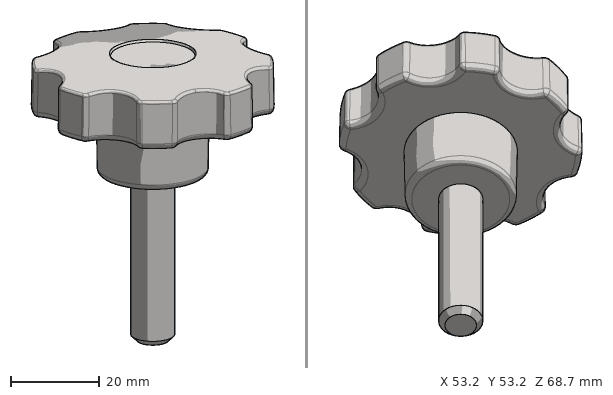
import cadquery as cq
import math

total_height = 68.7
hub_bottom = 40.05
grip_bottom = 55.0

grip_radius = 27.55
draft_angle = 1.0
dome_radius = 154.5
scallop_count = 8
scallop_radius = 7.5
scallop_center_radius = 30.75
lobe_corner_fillet = 1.45
grip_top_fillet = 0.7
grip_bottom_fillet = 1.5

recess_rim_radius = 9.8
recess_floor_radius = 9.55
recess_wall_depth = 0.55
dish_depth = 0.6

hub_top_radius = 12.85
hub_fillet = 1.5
stud_diameter = 10.0
stud_chamfer = 1.45

draft = math.tan(math.radians(draft_angle))
dome_center_z = total_height - math.sqrt(dome_radius**2 - recess_rim_radius**2)


def dome_height(radius):
    """Height of the domed top at a distance from the axis."""
    return dome_center_z + math.sqrt(dome_radius**2 - radius**2)


def domed_blank():
    """Drafted round head with a domed top, before the scallops are cut."""
    edge_radius = grip_radius - draft * (dome_height(grip_radius) - grip_bottom)
    profile = (
        cq.Workplane("XZ")
        .moveTo(0, grip_bottom)
        .lineTo(grip_radius, grip_bottom)
        .lineTo(edge_radius, dome_height(edge_radius))
        .threePointArc((edge_radius / 2, dome_height(edge_radius / 2)), (0, dome_height(0)))
        .close()
    )
    return profile.revolve(360, (0, 0, 0), (0, 1, 0))


def scalloped_grip():
    """Head with finger scallops around the rim and rounded edges."""
    scallops = (
        cq.Workplane("XY")
        .workplane(offset=grip_bottom)
        .polarArray(scallop_center_radius, 0, 360, scallop_count)
        .circle(scallop_radius)
        .extrude(total_height - grip_bottom)
    )
    grip = domed_blank().cut(scallops)

    band_half_height = 0.7
    head_middle = (grip_bottom + dome_height(grip_radius)) / 2
    middle_band = cq.selectors.BoxSelector(
        (-grip_radius, -grip_radius, head_middle - band_half_height),
        (grip_radius, grip_radius, head_middle + band_half_height),
    )
    grip = grip.edges(middle_band).fillet(lobe_corner_fillet)
    grip = grip.faces(">Z").edges().fillet(grip_top_fillet)
    return grip.faces("<Z").edges().fillet(grip_bottom_fillet)


def recess_cutter():
    """Shallow recess with a slanted wall and a concave floor."""
    floor_edge_z = total_height - recess_wall_depth
    floor_center_z = floor_edge_z - dish_depth
    dish_radius = (recess_floor_radius**2 + dish_depth**2) / (2 * dish_depth)
    middle_radius = recess_floor_radius / 2
    middle_z = floor_center_z + dish_radius - math.sqrt(dish_radius**2 - middle_radius**2)
    profile = (
        cq.Workplane("XZ")
        .moveTo(0, floor_center_z)
        .threePointArc((middle_radius, middle_z), (recess_floor_radius, floor_edge_z))
        .lineTo(recess_rim_radius, total_height)
        .lineTo(recess_rim_radius, dome_height(0))
        .lineTo(0, dome_height(0))
        .close()
    )
    return profile.revolve(360, (0, 0, 0), (0, 1, 0))


def hub():
    """Drafted collar under the head, rounded at its lower edge."""
    collar = (
        cq.Workplane("XY")
        .workplane(offset=grip_bottom)
        .circle(hub_top_radius)
        .extrude(hub_bottom - grip_bottom, taper=draft_angle)
    )
    return collar.faces("<Z").edges().fillet(hub_fillet)


def stud():
    """Plain round shank with a chamfered tip."""
    shank = cq.Workplane("XY").circle(stud_diameter / 2).extrude(hub_bottom)
    return shank.faces("<Z").chamfer(stud_chamfer)


result = scalloped_grip().cut(recess_cutter()).union(hub()).union(stud())